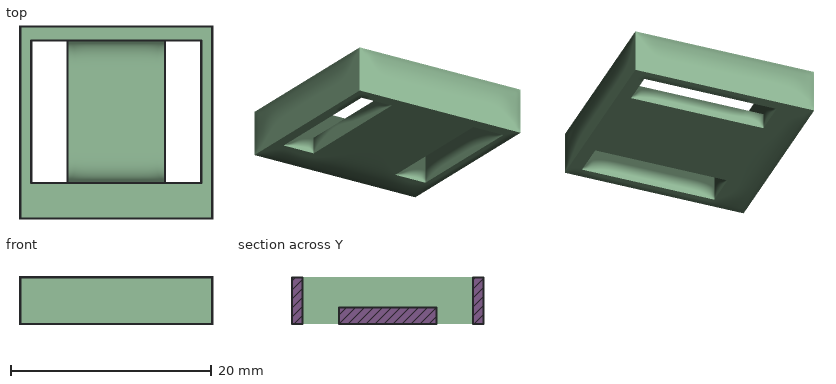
import cadquery as cq

side = 19.2
height = 4.7

side_wall = 1.13
back_wall = 1.4
front_wall = 3.6

bridge_width = 9.75
bridge_height = 1.7

window_width = side - 2 * side_wall
window_length = side - front_wall - back_wall
window_center_y = (front_wall - back_wall) / 2


def centred_block(width, length, block_height):
    """Block centred in X and Y with its underside on Z = 0."""
    return cq.Workplane("XY").box(width, length, block_height, centered=(True, True, False))


def make_frame():
    """Square block with a rectangular window cut right through."""
    window = centred_block(window_width, window_length, height)
    return centred_block(side, side, height).cut(window.translate((0, window_center_y, 0)))


def make_bridge():
    """Flat plate spanning the window from front to back."""
    plate = centred_block(bridge_width, window_length, bridge_height)
    return plate.translate((0, window_center_y, 0))


result = make_frame().union(make_bridge())